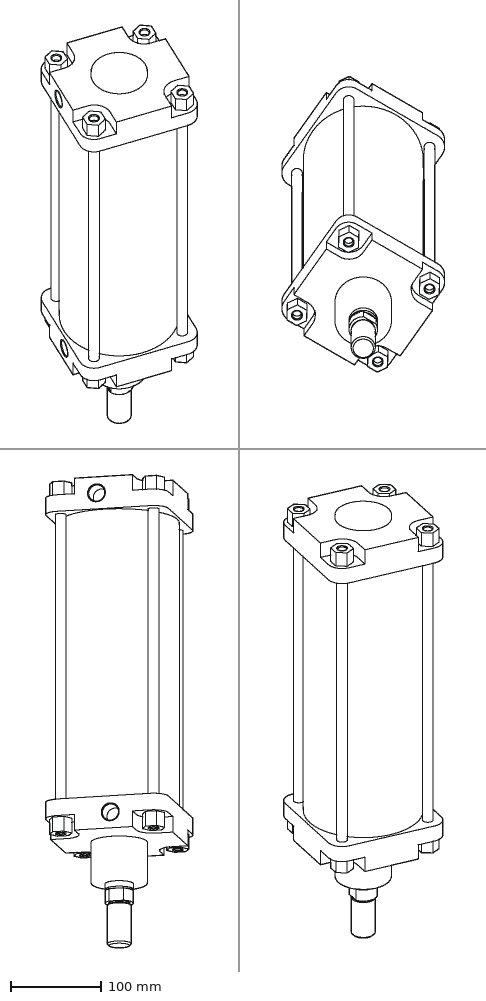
import cadquery as cq
import math

total_length = 524.0
rear_boss_height = 5.0
body_length = 401.5
rod_tip_z = body_length + rear_boss_height - total_length

cap_width = 140.0
cap_thickness = 36.5
cap_corner_radius = 17.0
boss_diameter = 63.0
boss_fillet = 2.0
front_boss_height = 47.0
pocket_size = 36.5
pocket_depth = 18.0
pocket_radius = 19.0

port_diameter = 18.5
port_chamfer = 1.0
port_depth = 21.0
port_offset = 8.0

barrel_diameter = 133.0
barrel_length = body_length - 2 * cap_thickness

tie_rod_diameter = 12.0
tie_rod_offset = cap_width / 2 - cap_corner_radius
nut_across_flats = 22.0
nut_recess = 1.0
nut_height = pocket_depth - nut_recess
nut_hole_diameter = 10.0
nut_hole_chamfer = 1.0
nut_hole_depth = 8.0

collar_diameter = 32.0
collar_length = 8.0
collar_chamfer = 1.5
wrench_diameter = 31.5
wrench_across_flats = 26.5
wrench_length = 14.0
groove_diameter = 24.0
groove_width = 1.5
thread_diameter = 26.5
thread_chamfer = 2.0
thread_run_in = 1.0

CORNERS = [(sx, sy) for sx in (-1, 1) for sy in (-1, 1)]


def cylinder(diameter, z_start, length):
    """Cylinder on the Z axis that starts at z_start and rises by length."""
    return cq.Workplane("XY").workplane(offset=z_start).circle(diameter / 2).extrude(length)


def corner_pocket(sx, sy):
    """Cutter for one nut pocket, open to two sides and to the outer face at z = 0."""
    pocket_center = cap_width / 2 - pocket_size / 2
    margin = 2 * pocket_radius
    side = pocket_size + margin
    center = pocket_center + margin / 2
    return (
        cq.Workplane("XY")
        .center(sx * center, sy * center)
        .rect(side, side)
        .extrude(pocket_depth)
        .edges("|Z")
        .fillet(pocket_radius)
    )


def port_cutter(x):
    """Blind port bored into the -Y side, with a chamfered mouth."""
    radius = port_diameter / 2
    mouth = radius + port_chamfer
    profile = [(0, 0), (mouth, 0), (radius, port_chamfer), (radius, port_depth), (0, port_depth)]
    return (
        cq.Workplane("XY")
        .polyline(profile)
        .close()
        .revolve(360, (0, 0, 0), (0, 1, 0))
        .translate((x, -cap_width / 2, cap_thickness / 2))
    )


def end_cap(boss_height, port_x):
    """Cap with its outer face at z = 0 and its boss pointing to -Z."""
    cap = (
        cq.Workplane("XY")
        .rect(cap_width, cap_width)
        .extrude(cap_thickness)
        .edges("|Z")
        .fillet(cap_corner_radius)
    )
    boss = cylinder(boss_diameter, -boss_height, boss_height).faces("<Z").edges().fillet(boss_fillet)
    cap = cap.union(boss)
    for sx, sy in CORNERS:
        cap = cap.cut(corner_pocket(sx, sy))
    rod_holes = (
        cq.Workplane("XY")
        .rect(2 * tie_rod_offset, 2 * tie_rod_offset, forConstruction=True)
        .vertices()
        .circle(tie_rod_diameter / 2)
        .extrude(cap_thickness)
    )
    return cap.cut(rod_holes).cut(port_cutter(port_x))


def nut(z_start):
    """Hexagonal nut with two flats facing -Y and +Y."""
    across_corners = nut_across_flats / math.cos(math.radians(30))
    return cq.Workplane("XY").workplane(offset=z_start).polygon(6, across_corners).extrude(nut_height)


def nut_hole():
    """Cutter for the blind hole in the outer end of a nut at z = 0."""
    radius = nut_hole_diameter / 2
    mouth = radius + nut_hole_chamfer
    profile = [(0, 0), (mouth, 0), (radius, nut_hole_chamfer), (radius, nut_hole_depth), (0, nut_hole_depth)]
    return cq.Workplane("XZ").polyline(profile).close().revolve(360, (0, 0, 0), (0, 1, 0))


def tie_rod(sx, sy):
    """Tie rod through both caps, in one piece with its two end nuts."""
    rod_length = body_length - 2 * nut_recess
    hole = nut_hole()
    opposite_hole = hole.mirror("XY").translate((0, 0, rod_length))
    rod = (
        cylinder(tie_rod_diameter, 0, rod_length)
        .union(nut(0))
        .union(nut(rod_length - nut_height))
        .cut(hole)
        .cut(opposite_hole)
    )
    return rod.translate((sx * tie_rod_offset, sy * tie_rod_offset, nut_recess))


def piston_rod():
    """Visible rod end: collar, wrench flats, undercut and threaded end."""
    collar_z = -front_boss_height - collar_length
    wrench_z = collar_z - wrench_length
    groove_z = wrench_z - groove_width
    collar = cylinder(collar_diameter, collar_z, collar_length).faces("<Z").chamfer(collar_chamfer)
    flats = cq.Workplane("XY").workplane(offset=wrench_z).rect(collar_diameter, wrench_across_flats)
    wrench = cylinder(wrench_diameter, wrench_z, wrench_length).intersect(flats.extrude(wrench_length))
    groove = cylinder(groove_diameter, groove_z, groove_width)
    thread = cylinder(thread_diameter, rod_tip_z, groove_z - rod_tip_z)
    thread = thread.faces("<Z").chamfer(thread_chamfer).faces(">Z").chamfer(thread_run_in)
    return collar.union(wrench).union(groove).union(thread)


front_cap = end_cap(front_boss_height, port_offset)

rear_cap = end_cap(rear_boss_height, -port_offset).mirror("XY").translate((0, 0, body_length))

barrel = cylinder(barrel_diameter, cap_thickness, barrel_length)

tie_rods = [tie_rod(sx, sy).val() for sx, sy in CORNERS]

result = cq.Compound.makeCompound([front_cap.val(), rear_cap.val(), barrel.val(), piston_rod().val(), *tie_rods])